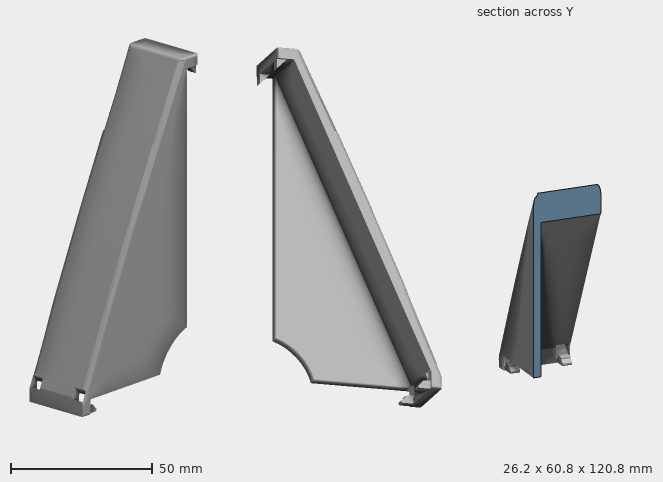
import cadquery as cq
import math

width = 26.2
depth = 60.8
height = 120.8

lip_thickness = 3.9
top_lip_thickness = 4.1
front_lip_height = 6.2
top_lip_front_y = 52.5
panel_bulge = 1.1
inner_corner_z = 5.8
inner_corner_y = 54.7
panel_fillet = 1.7
edge_fillet = 0.7

web_thickness = 3.0
web_corner_cut = 14.3
web_cut_radius = 21.8

window_width = 5.1
window_side_gap = 0.5
clip_clearance = 0.7
clip_width = window_width - 2 * clip_clearance
top_clip_length = 3.6
top_clip_drop = 3.5
low_clip_reach = 4.5
low_clip_height = 3.0
low_clip_flat_end_y = 5.3
low_clip_step_height = 2.7
low_clip_nose_length = 1.5
low_clip_nose_height = 2.2
low_clip_tip_height = 1.0
low_clip_tip_chamfer = 0.4
window_top_z = 11.1
window_floor_z = 5.7
window_tilt = 45.0
window_run = 9.7

top_lip_z = height - top_lip_thickness


def x_extrude(outline, x_start, length):
    """Extrude a closed YZ outline along +X from x_start."""
    return outline.extrude(length).translate((x_start, 0, 0))


def make_cover():
    panel_length = math.hypot(top_lip_front_y, height - front_lip_height)
    normal_y = -(height - front_lip_height) / panel_length
    normal_z = top_lip_front_y / panel_length
    bulge_point = (
        top_lip_front_y / 2 + panel_bulge * normal_y,
        (front_lip_height + height) / 2 + panel_bulge * normal_z,
    )
    outline = (
        cq.Workplane("YZ")
        .moveTo(0, 0)
        .lineTo(0, front_lip_height)
        .threePointArc(bulge_point, (top_lip_front_y, height))
        .lineTo(depth, height)
        .lineTo(depth, top_lip_z)
        .lineTo(inner_corner_y, top_lip_z)
        .lineTo(lip_thickness, inner_corner_z)
        .lineTo(lip_thickness, 0)
        .close()
    )
    cover = x_extrude(outline, -width / 2, width)
    panel = cq.selectors.NearestToPointSelector((0, *bulge_point))
    cover = cover.faces(panel).edges().fillet(panel_fillet)
    return round_lip_ends(cover)


def nearest_edge(solid, point):
    """Find the edge whose middle is closest to the point."""
    return solid.edges(cq.selectors.NearestToPointSelector(point)).val()


def round_lip_ends(cover):
    """Round the outer edges of both lips where they meet the side faces."""
    near_points = ((depth - 1.2, height), (depth, height - 1.2), (1.2, 0), (0, 1.2))
    edges = [
        nearest_edge(cover, (side, y, z))
        for side in (-width / 2, width / 2)
        for y, z in near_points
    ]
    return cover.newObject(edges).fillet(edge_fillet)


def make_web():
    outline = (
        cq.Workplane("YZ")
        .moveTo(lip_thickness, inner_corner_z)
        .lineTo(inner_corner_y - web_corner_cut, inner_corner_z)
        .radiusArc((inner_corner_y, inner_corner_z + web_corner_cut), web_cut_radius)
        .lineTo(inner_corner_y, top_lip_z)
        .close()
    )
    web = x_extrude(outline, width / 2 - web_thickness, web_thickness)
    free_edges = web.faces("<X").edges("|Y or |Z or %CIRCLE")
    return free_edges.fillet(edge_fillet)


def make_top_clip(x_start):
    outline = (
        cq.Workplane("YZ")
        .moveTo(depth, top_lip_z)
        .lineTo(depth, top_lip_z - top_clip_drop)
        .lineTo(depth - top_clip_length, top_lip_z)
        .close()
    )
    return x_extrude(outline, x_start, clip_width)


def make_low_clip(x_start):
    tip_y = lip_thickness + low_clip_reach
    step_y = tip_y - low_clip_nose_length
    outline = (
        cq.Workplane("YZ")
        .moveTo(lip_thickness, 0)
        .lineTo(tip_y - low_clip_tip_chamfer, 0)
        .lineTo(tip_y, low_clip_tip_chamfer)
        .lineTo(tip_y, low_clip_tip_height)
        .lineTo(step_y, low_clip_nose_height)
        .lineTo(step_y, low_clip_step_height)
        .lineTo(low_clip_flat_end_y, low_clip_height)
        .lineTo(lip_thickness, low_clip_height)
        .close()
    )
    return x_extrude(outline, x_start, clip_width)


def make_window(x_start):
    """Slot through the panel whose roof and floor both descend inwards."""
    drop = window_run * math.tan(math.radians(window_tilt))
    outline = (
        cq.Workplane("YZ")
        .moveTo(0, window_floor_z)
        .lineTo(0, window_top_z)
        .lineTo(window_run, window_top_z - drop)
        .lineTo(window_run, window_floor_z - drop)
        .close()
    )
    return x_extrude(outline, x_start, window_width)


left_window_x = -width / 2 + window_side_gap
right_window_x = -left_window_x - window_width

result = make_cover().union(make_web())
for window_x in (left_window_x, right_window_x):
    clip_x = window_x + clip_clearance
    result = result.cut(make_window(window_x))
    result = result.union(make_top_clip(clip_x))
    result = result.union(make_low_clip(clip_x))